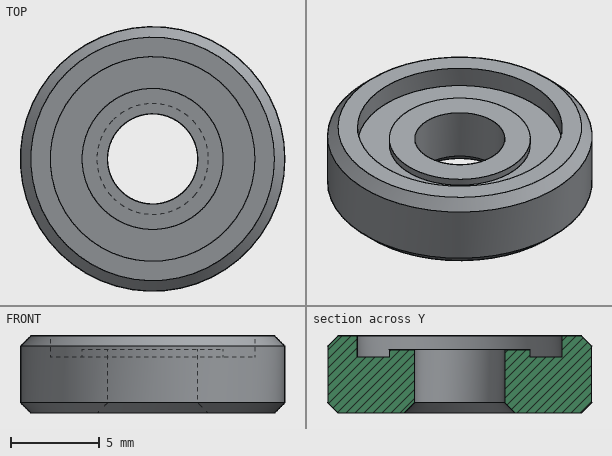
import cadquery as cq

outer_diameter = 15.0
height = 4.4
edge_chamfer = 0.6

recess_diameter = 11.6
recess_depth = 1.2
hub_diameter = 8.0
hub_height = 0.4

bore_diameter = 5.1
bore_chamfer = 0.6


def disc_at(bottom, diameter, thickness):
    """Plain disc whose lower face lies at the given height."""
    return cq.Workplane("XY").workplane(offset=bottom).circle(diameter / 2).extrude(thickness)


recess_floor = height - recess_depth

body = disc_at(0, outer_diameter, height).edges("%CIRCLE").chamfer(edge_chamfer)
body = body.cut(disc_at(recess_floor, recess_diameter, recess_depth))
body = body.union(disc_at(recess_floor, hub_diameter, hub_height))
body = body.cut(disc_at(0, bore_diameter, height))

result = body.faces("<Z").edges(cq.selectors.RadiusNthSelector(0)).chamfer(bore_chamfer)